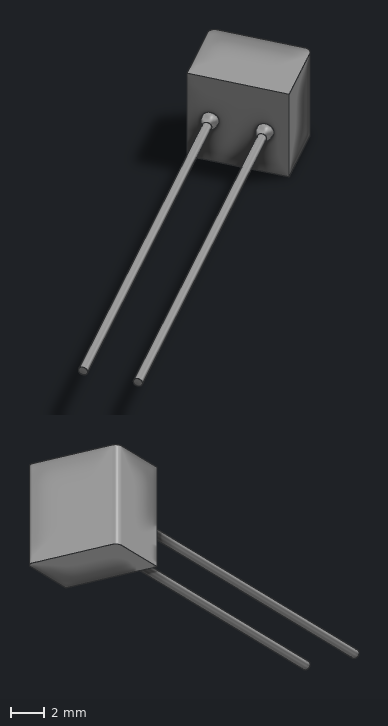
import cadquery as cq

housing_width = 6.5
housing_height = 6.5
housing_depth = 4.48
overall_length = 29.5
back_edge_radius = 0.45

lead_diameter = 0.6
lead_spacing = 3.48
collar_root_diameter = 1.1
collar_length = 0.68
collar_bulge = 0.1

lead_length = overall_length - housing_depth
left_x = -lead_spacing / 2
right_x = lead_spacing / 2


def make_block():
    """Block with its front face on Y = 0 and its two upright back edges rounded."""
    block = cq.Workplane("XY").box(
        housing_width, housing_depth, housing_height, centered=(True, False, True)
    )
    return block.edges("|Z and >Y").fillet(back_edge_radius)


def make_collar(x):
    """Bulged collar on the front face, narrowing to the lead diameter at its tip."""
    root_radius = collar_root_diameter / 2
    tip_radius = lead_diameter / 2
    middle_radius = (root_radius + tip_radius) / 2 + collar_bulge
    profile = (
        cq.Workplane("XY")
        .lineTo(root_radius, 0)
        .threePointArc((middle_radius, -collar_length / 2), (tip_radius, -collar_length))
        .lineTo(0, -collar_length)
        .close()
    )
    return profile.revolve(360, (0, 0, 0), (0, 1, 0)).translate((x, 0, 0))


def make_wire(x):
    """Straight round wire from the tip of a collar to the free end at -Y."""
    wire_start = cq.Workplane("XZ", origin=(x, -collar_length, 0))
    return wire_start.circle(lead_diameter / 2).extrude(lead_length - collar_length)


def make_housing():
    """Block with both collars and the right-hand wire, all in one piece."""
    housing = make_block()
    for x in (left_x, right_x):
        housing = housing.union(make_collar(x))
    return housing.union(make_wire(right_x))


housing = make_housing()
left_wire = make_wire(left_x)

result = cq.Compound.makeCompound([housing.val(), left_wire.val()])